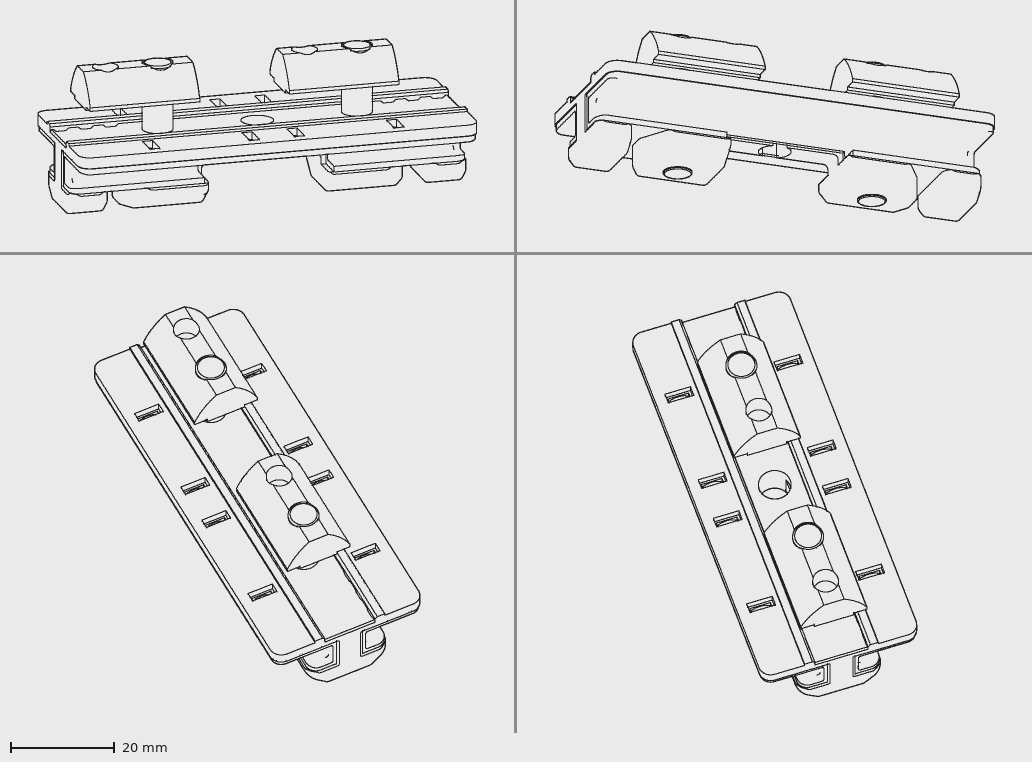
import cadquery as cq
import math

LENGTH = 80.0
PLATE_WIDTH = 32.0
HEIGHT = 28.0
HALF_LENGTH = LENGTH / 2

PLATE_TOP = 15.0
PLATE_BOTTOM = 12.75
PLATE_CORNER_RADIUS = 2.4
RIB_TOP = 15.5
RIB_OUTER_X = 7.5
RIB_INNER_X = 5.4
RIB_CHAMFER = 0.5
FLOOR_Z = 14.5

GROOVE_COUNT = 3
GROOVE_PITCH = 5.0
FIRST_GROOVE_FROM_END = 2.15
GROOVE_DEPTH = 0.5
GROOVE_BOTTOM_WIDTH = 1.9
GROOVE_SLOPE_WIDTH = 0.6
GROOVE_EDGE_RADIUS = 0.3
END_CHAMFER_LENGTH = 0.25

CORE_WEB_HALF = 2.8
FOOT_BOTTOM = 0.4
FOOT_TOP = 5.4
FOOT_HALF = 8.6
FOOT_TOP_CHAMFER_WIDTH = 0.25
FOOT_TOP_CHAMFER_HEIGHT = 0.4
FOOT_BEVEL_TOP = 3.7
FOOT_BOTTOM_HALF = 4.8
FOOT_CORNER_RADIUS = 2.4
FOOT_EDGE_RADIUS = 1.0
FOOT_EDGE_SELECT_MARGIN = 0.1
END_BLOCK_LENGTH = 8.0
INNER_BLOCK_START = 12.0
INNER_BLOCK_END = 28.6
TAPER_START = 24.7
TAPER_TIP_HALF = 2.0
INNER_BLOCK_CORNER_RADIUS = 1.0
NOTCH_TOP = 7.5
NOTCH_RADIUS = 1.0

LINER_INSET = 0.25
CORE_MOUTH_OFFSET = 0.5
CORE_MOUTH_RADIUS = 0.9
LINER_MOUTH_OFFSET = 0.25
LINER_MOUTH_LENGTH = 1.5
LINER_WEB_HALF = 3.75
LINER_TOP_SLAB_BOTTOM = 11.4
LINER_FOOT_SLAB_TOP = 6.55
LINER_SEAT_TOP = PLATE_BOTTOM - CORE_MOUTH_OFFSET
LINER_INNER_RADIUS = 0.6
LINER_EDGE_RADIUS = 0.35
LINER_NOTCH_HALF = 13.0
LINER_NOTCH_TOP = 8.0

CENTRE_HOLE_DIAMETER = 6.3

POCKET_X = 11.1
POCKET_ROWS = (4.5, 24.5)
POCKET_LENGTH = 5.2
POCKET_WIDTH = 2.0
POCKET_DEPTH = 1.5
POCKET_INNER_LENGTH = 4.2
POCKET_INNER_WIDTH = 1.2
POCKET_CROWN_DEPTH = 0.3
POCKET_SIDE_DEPTH = 1.3

PIN_Y = 20.0
PIN_DIAMETER = 6.0
PIN_TOP_CHAMFER = 0.4
PIN_FOOT_DIAMETER = 5.6
PIN_FOOT_CHAMFER = 0.2
NUT_FRONT_OVERHANG = 15.5
NUT_BACK_OVERHANG = 6.5
NUT_HALF = 6.75
NUT_TOP_HALF = 2.06
NUT_BOTTOM = 21.4
NUT_SHOULDER = 22.1
NUT_BULGE = 0.5
NUT_STEP_HALF = 4.0
NUT_STEP_BOTTOM = 20.75
NUT_HOLE_DIAMETER = 5.0
NUT_HOLE_OFFSET = 10.5
NUT_HOLE_DEPTH = 4.5
DRILL_POINT_ANGLE = 118.0


def box(x0, x1, y0, y1, z0, z1):
    """Axis-aligned box between the given limits."""
    return cq.Workplane("XY").box(x1 - x0, y1 - y0, z1 - z0, centered=False).translate((x0, y0, z0))


def along_y(points, y0, y1):
    """Closed X-Z outline extruded from y0 to y1."""
    return cq.Workplane("XZ", origin=(0, y0, 0)).polyline(points).close().extrude(y0 - y1)


def mirrored_outline(right_half):
    """Close a right-hand (x, z) outline with its mirror image about x = 0."""
    return right_half + [(-x, z) for x, z in reversed(right_half)]


def make_plate():
    """Flat plate with two ribs along the middle and a sunk floor between them."""
    depth = PLATE_TOP - PLATE_BOTTOM
    plate = (
        cq.Workplane("XY", origin=(0, 0, PLATE_BOTTOM))
        .rect(PLATE_WIDTH, LENGTH)
        .extrude(depth)
        .edges("|Z")
        .fillet(PLATE_CORNER_RADIUS)
    )
    ribs = box(-RIB_OUTER_X, RIB_OUTER_X, -HALF_LENGTH, HALF_LENGTH, PLATE_TOP, RIB_TOP)
    sunk_floor = along_y(
        mirrored_outline([
            (RIB_INNER_X, FLOOR_Z),
            (RIB_INNER_X, RIB_TOP - RIB_CHAMFER),
            (RIB_INNER_X + RIB_CHAMFER, RIB_TOP),
        ]),
        -HALF_LENGTH,
        HALF_LENGTH,
    )
    plate = plate.union(ribs).cut(sunk_floor)
    serrations = make_serrations()
    plate = plate.cut(serrations).cut(serrations.mirror("XZ"))
    inner_half_length = HALF_LENGTH - 2 * END_CHAMFER_LENGTH
    groove_rims = cq.selectors.BoxSelector(
        (-RIB_INNER_X, -inner_half_length, FLOOR_Z - GROOVE_DEPTH / 2),
        (RIB_INNER_X, inner_half_length, FLOOR_Z + GROOVE_DEPTH / 2),
    )
    return plate.edges("|X").edges(groove_rims).fillet(GROOVE_EDGE_RADIUS)


def make_serrations():
    """Trapezoidal grooves and the end chamfer that are cut into the floor at +Y."""
    bottom_z = FLOOR_Z - GROOVE_DEPTH
    bottom_half = GROOVE_BOTTOM_WIDTH / 2
    top_half = bottom_half + GROOVE_SLOPE_WIDTH

    def across_floor(points):
        return cq.Workplane("YZ").polyline(points).close().extrude(RIB_INNER_X, both=True)

    cutter = across_floor([
        (HALF_LENGTH - END_CHAMFER_LENGTH, FLOOR_Z),
        (HALF_LENGTH, FLOOR_Z),
        (HALF_LENGTH, bottom_z),
    ])
    for index in range(GROOVE_COUNT):
        y = HALF_LENGTH - FIRST_GROOVE_FROM_END - index * GROOVE_PITCH
        cutter = cutter.union(across_floor([
            (y - top_half, FLOOR_Z),
            (y - bottom_half, bottom_z),
            (y + bottom_half, bottom_z),
            (y + top_half, FLOOR_Z),
        ]).edges("|X and <Z").fillet(GROOVE_EDGE_RADIUS))
    return cutter


def foot_section(y0, y1):
    """Foot bar with chamfered upper edges and wide lower bevels."""
    return along_y(
        mirrored_outline([
            (FOOT_BOTTOM_HALF, FOOT_BOTTOM),
            (FOOT_HALF, FOOT_BEVEL_TOP),
            (FOOT_HALF, FOOT_TOP - FOOT_TOP_CHAMFER_HEIGHT),
            (FOOT_HALF - FOOT_TOP_CHAMFER_WIDTH, FOOT_TOP),
        ]),
        y0,
        y1,
    )


def round_lower_edges(block):
    """Round all edges of a foot block that belong to its bottom or its bevels."""
    limit = FOOT_BEVEL_TOP + FOOT_EDGE_SELECT_MARGIN
    lower_edges = cq.selectors.BoxSelector((-PLATE_WIDTH, -LENGTH, 0), (PLATE_WIDTH, LENGTH, limit))
    return block.edges(lower_edges).fillet(FOOT_EDGE_RADIUS)


def make_end_block():
    """Foot block at the +Y end, rounded in plan and along its lower end edges."""
    start = HALF_LENGTH - END_BLOCK_LENGTH
    plan = (
        box(-FOOT_HALF, FOOT_HALF, start, HALF_LENGTH, 0, FOOT_TOP)
        .edges("|Z")
        .fillet(FOOT_CORNER_RADIUS)
    )
    block = foot_section(start, HALF_LENGTH).intersect(plan)
    return round_lower_edges(block)


def make_inner_block():
    """Foot block beside the middle notch, tapered in plan towards the +Y end."""
    plan = (
        cq.Workplane("XY")
        .polyline(mirrored_outline([
            (FOOT_HALF, INNER_BLOCK_START),
            (FOOT_HALF, TAPER_START),
            (TAPER_TIP_HALF, INNER_BLOCK_END),
        ]))
        .close()
        .extrude(FOOT_TOP)
    )
    plan = plan.edges("|Z and <Y").fillet(INNER_BLOCK_CORNER_RADIUS)
    plan = plan.edges("|Z and (>X or <X)").edges(">Y").fillet(FOOT_CORNER_RADIUS)
    block = foot_section(INNER_BLOCK_START, INNER_BLOCK_END).intersect(plan)
    return round_lower_edges(block)


def make_core():
    """Upright web with a round-cornered notch under its middle, and four foot blocks."""
    web = box(-CORE_WEB_HALF, CORE_WEB_HALF, -HALF_LENGTH, HALF_LENGTH, FOOT_TOP, PLATE_BOTTOM)
    notch = (
        box(-CORE_WEB_HALF, CORE_WEB_HALF, -INNER_BLOCK_START, INNER_BLOCK_START, 0, NOTCH_TOP)
        .edges("|X and >Z")
        .fillet(NOTCH_RADIUS)
    )
    core = web.cut(notch)
    for block in (make_end_block(), make_inner_block()):
        core = core.union(block).union(block.mirror("XZ"))
    return core


def channel_mouth(wall_x, z0, z1, end_y, length, offset, corner_radius):
    """Flared cutter that widens both side channels by the offset up to end_y."""
    width = PLATE_WIDTH
    height = z1 - z0
    mouth = (
        cq.Workplane("XZ", origin=(wall_x + width / 2, end_y - length, (z0 + z1) / 2))
        .rect(width, height)
        .workplane(offset=-length)
        .rect(width + 2 * offset, height + 2 * offset)
        .loft(ruled=True)
    )
    mouth = mouth.faces("<X").edges("not(|Z)").fillet(corner_radius)
    return mouth.union(mouth.mirror("YZ"))


def make_liner():
    """Lining of both side channels: a slab under the plate, the web skin and a slab on the feet."""
    half_length = HALF_LENGTH - LINER_INSET
    slab_half = PLATE_WIDTH / 2 - LINER_INSET
    foot_half = FOOT_HALF - LINER_INSET
    corner_radius = PLATE_CORNER_RADIUS - LINER_INSET

    top_slab = (
        box(-slab_half, slab_half, -half_length, half_length, LINER_TOP_SLAB_BOTTOM, PLATE_BOTTOM)
        .edges("|Z")
        .fillet(corner_radius)
        .faces("<Z")
        .edges()
        .fillet(LINER_EDGE_RADIUS)
    )
    foot_slab = (
        box(-foot_half, foot_half, LINER_NOTCH_HALF, half_length, FOOT_TOP, LINER_FOOT_SLAB_TOP)
        .edges("|Z and >Y")
        .fillet(corner_radius)
    )
    web = box(-LINER_WEB_HALF, LINER_WEB_HALF, -half_length, half_length, FOOT_TOP, PLATE_BOTTOM)
    notch = box(
        -LINER_WEB_HALF, LINER_WEB_HALF, -LINER_NOTCH_HALF, LINER_NOTCH_HALF, 0, LINER_NOTCH_TOP
    )
    mouth = channel_mouth(
        LINER_WEB_HALF,
        LINER_FOOT_SLAB_TOP,
        LINER_TOP_SLAB_BOTTOM,
        half_length,
        LINER_MOUTH_LENGTH,
        LINER_MOUTH_OFFSET,
        LINER_INNER_RADIUS,
    )
    liner = top_slab.union(web.cut(notch)).union(foot_slab).union(foot_slab.mirror("XZ"))
    liner = liner.union(make_channel_fillets())
    return liner.cut(mouth).cut(mouth.mirror("XZ"))


def make_channel_fillets():
    """Rounded inner corners between the web skin and the two liner slabs."""
    radius = LINER_INNER_RADIUS
    half_length = HALF_LENGTH - LINER_INSET

    def corner_strip(z, direction, y0, y1):
        strip = (
            cq.Workplane("XZ", origin=(0, y0, 0))
            .moveTo(LINER_WEB_HALF, z)
            .lineTo(LINER_WEB_HALF + radius, z)
            .radiusArc((LINER_WEB_HALF, z + direction * radius), direction * radius)
            .close()
            .extrude(y0 - y1)
        )
        return strip.union(strip.mirror("YZ"))

    upper = corner_strip(LINER_TOP_SLAB_BOTTOM, -1, -half_length, half_length)
    lower = corner_strip(LINER_FOOT_SLAB_TOP, 1, LINER_NOTCH_HALF, half_length)
    return upper.union(lower).union(lower.mirror("XZ"))


def make_centre_hole():
    """Round hole through plate and core web; the liner's web skin stays outside it."""
    hole = cq.Workplane("XY").circle(CENTRE_HOLE_DIAMETER / 2).extrude(HEIGHT)
    upper = box(-PLATE_WIDTH, PLATE_WIDTH, -HALF_LENGTH, HALF_LENGTH, LINER_SEAT_TOP, HEIGHT)
    between_skins = box(-CORE_WEB_HALF, CORE_WEB_HALF, -HALF_LENGTH, HALF_LENGTH, 0, HEIGHT)
    return hole.intersect(upper.union(between_skins))


def make_marker_pocket():
    """Stepped pocket whose lower step has a crowned floor."""
    step_z = PLATE_TOP - POCKET_DEPTH
    outer = (
        cq.Workplane("XY", origin=(0, 0, step_z))
        .rect(POCKET_LENGTH, POCKET_WIDTH)
        .extrude(POCKET_DEPTH)
    )
    inner_half = POCKET_INNER_LENGTH / 2
    inner = (
        cq.Workplane("XZ")
        .moveTo(-inner_half, step_z)
        .lineTo(-inner_half, step_z - POCKET_SIDE_DEPTH)
        .threePointArc((0, step_z - POCKET_CROWN_DEPTH), (inner_half, step_z - POCKET_SIDE_DEPTH))
        .lineTo(inner_half, step_z)
        .close()
        .extrude(POCKET_INNER_WIDTH / 2, both=True)
    )
    return outer.union(inner)


def make_pin():
    """Pin through the base and the nut, chamfered at both ends."""
    shank = (
        cq.Workplane("XY", origin=(0, 0, FOOT_TOP))
        .circle(PIN_DIAMETER / 2)
        .extrude(HEIGHT - FOOT_TOP)
        .faces(">Z")
        .chamfer(PIN_TOP_CHAMFER)
    )
    foot = (
        cq.Workplane("XY")
        .circle(PIN_FOOT_DIAMETER / 2)
        .extrude(FOOT_TOP)
        .faces("<Z")
        .chamfer(PIN_FOOT_CHAMFER)
    )
    return shank.union(foot)


def make_nut():
    """Sliding nut with bulged flanks, a stepped underside and a drilled blind hole."""
    length = NUT_FRONT_OVERHANG + NUT_BACK_OVERHANG
    run = NUT_HALF - NUT_TOP_HALF
    rise = HEIGHT - NUT_SHOULDER
    chord = math.hypot(run, rise)
    bulge_x = (NUT_HALF + NUT_TOP_HALF) / 2 + NUT_BULGE * rise / chord
    bulge_z = (HEIGHT + NUT_SHOULDER) / 2 + NUT_BULGE * run / chord
    nut = (
        cq.Workplane("XZ", origin=(0, -NUT_FRONT_OVERHANG, 0))
        .moveTo(-NUT_STEP_HALF, NUT_STEP_BOTTOM)
        .lineTo(NUT_STEP_HALF, NUT_STEP_BOTTOM)
        .lineTo(NUT_STEP_HALF, NUT_BOTTOM)
        .lineTo(NUT_HALF, NUT_BOTTOM)
        .lineTo(NUT_HALF, NUT_SHOULDER)
        .threePointArc((bulge_x, bulge_z), (NUT_TOP_HALF, HEIGHT))
        .lineTo(-NUT_TOP_HALF, HEIGHT)
        .threePointArc((-bulge_x, bulge_z), (-NUT_HALF, NUT_SHOULDER))
        .lineTo(-NUT_HALF, NUT_BOTTOM)
        .lineTo(-NUT_STEP_HALF, NUT_BOTTOM)
        .close()
        .extrude(-length)
    )
    hole_radius = NUT_HOLE_DIAMETER / 2
    point_length = hole_radius / math.tan(math.radians(DRILL_POINT_ANGLE / 2))
    hole_bottom = HEIGHT - NUT_HOLE_DEPTH
    hole = (
        cq.Workplane("XZ")
        .polyline([
            (0, HEIGHT),
            (hole_radius, HEIGHT),
            (hole_radius, hole_bottom),
            (0, hole_bottom - point_length),
        ])
        .close()
        .revolve(360, (0, 0, 0), (0, 1, 0))
        .translate((0, -NUT_HOLE_OFFSET, 0))
    )
    pin_hole = cq.Workplane("XY").circle(PIN_DIAMETER / 2).extrude(HEIGHT)
    return nut.cut(hole).cut(pin_hole)


def make_base():
    """Plate, core and liner joined, with all cuts."""
    base = make_plate().union(make_core())
    mouth = channel_mouth(
        CORE_WEB_HALF,
        FOOT_TOP,
        LINER_SEAT_TOP,
        HALF_LENGTH,
        LINER_INSET,
        CORE_MOUTH_OFFSET,
        CORE_MOUTH_RADIUS,
    )
    base = base.cut(mouth).cut(mouth.mirror("XZ"))
    base = base.union(make_liner())
    base = base.cut(make_centre_hole())
    pocket = make_marker_pocket()
    for x in (-POCKET_X, POCKET_X):
        for row in POCKET_ROWS:
            for y in (-row, row):
                base = base.cut(pocket.translate((x, y, 0)))
    return base


result = make_base()
clamp = make_nut().union(make_pin())
for pin_y in (-PIN_Y, PIN_Y):
    result = result.union(clamp.translate((0, pin_y, 0)))